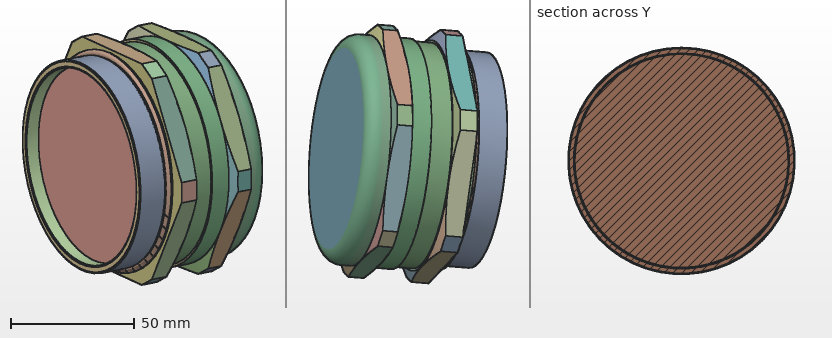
import cadquery as cq
import math


across_flats = 94.0
across_corners = 103.54
hex_length = 9.0
body_hex_start = 0.0
nut_hex_start = 26.0
body_hex_chamfer_angle = 20.0
nut_hex_chamfer_angle = 15.0
envelope_margin = 1.0
hex_half_angle = 30
flat_to_corner = 1 / math.cos(math.radians(hex_half_angle))

thread_radius = 43.94
thread_length = 15.0
end_chamfer_width = 0.6
end_chamfer_angle = 30.0
end_chamfer_depth = end_chamfer_width * math.tan(math.radians(end_chamfer_angle))
bore_radius = 40.7
bore_depth = 6.0

ring_radius = 46.0
ring_section = 2.75
ring_squeeze = 0.1
groove_width = 3.0
groove_radius = ring_radius - ring_section + ring_squeeze

barrel_radius = 46.0
nut_radius = across_flats / 2
nut_start = 18.0
nut_end = 45.0
nut_rounding = 6.0


def cylinder(radius, start, end):
    """Solid cylinder about the Y axis between two Y stations."""
    return cq.Workplane("XZ", origin=(0, start, 0)).circle(radius).extrude(start - end)


def chamfer_envelope(start, end, angle, both_ends):
    """Turned envelope whose conical ends trim the corners of a hexagon."""
    base_radius = across_flats / 2
    outer_radius = across_corners / 2 + envelope_margin
    drop = (outer_radius - base_radius) * math.tan(math.radians(angle))
    profile = cq.Workplane("XY").moveTo(0, start)
    if both_ends:
        profile = profile.lineTo(base_radius, start).lineTo(outer_radius, start + drop)
    else:
        profile = profile.lineTo(outer_radius, start)
    profile = profile.lineTo(outer_radius, end - drop).lineTo(base_radius, end).lineTo(0, end)
    return profile.close().revolve(360, (0, 0, 0), (0, 1, 0))


def hexagon(start, angle, both_ends):
    """Hexagon with flats on top and bottom, cut-off corners and coned ends."""
    end = start + hex_length
    prism = (
        cq.Workplane("XZ", origin=(0, start, 0))
        .polygon(6, across_flats * flat_to_corner)
        .extrude(-hex_length)
    )
    corner_trim = (
        cq.Workplane("XZ", origin=(0, start, 0))
        .transformed(rotate=(0, 0, hex_half_angle))
        .polygon(6, across_corners * flat_to_corner)
        .extrude(-hex_length)
    )
    return prism.intersect(corner_trim).intersect(chamfer_envelope(start, end, angle, both_ends))


def threaded_end():
    """Plain thread cylinder with a chamfered free end and a groove for the ring."""
    end = -thread_length
    groove_start = body_hex_start - groove_width
    return (
        cq.Workplane("XY")
        .moveTo(0, end)
        .lineTo(thread_radius - end_chamfer_width, end)
        .lineTo(thread_radius, end + end_chamfer_depth)
        .lineTo(thread_radius, groove_start)
        .lineTo(groove_radius, groove_start)
        .lineTo(groove_radius, body_hex_start)
        .lineTo(0, body_hex_start)
        .close()
        .revolve(360, (0, 0, 0), (0, 1, 0))
    )


def sealing_ring():
    """Round-section ring pressed into the groove floor and the body hexagon."""
    section_radius = ring_section / 2
    ring = cq.Solid.makeTorus(
        ring_radius - section_radius,
        section_radius,
        cq.Vector(0, body_hex_start + ring_squeeze - section_radius, 0),
        cq.Vector(0, 1, 0),
    )
    return cq.Workplane(obj=ring)


def cap_nut():
    """Cap nut skirt with a rounded closed end."""
    return cylinder(nut_radius, nut_start, nut_end).faces(">Y").edges().fillet(nut_rounding)


def bore():
    """Blind bore in the threaded end with a chamfered mouth."""
    mouth = -thread_length
    return (
        cq.Workplane("XY")
        .moveTo(0, mouth)
        .lineTo(bore_radius + end_chamfer_width, mouth)
        .lineTo(bore_radius, mouth + end_chamfer_depth)
        .lineTo(bore_radius, mouth + bore_depth)
        .lineTo(0, mouth + bore_depth)
        .close()
        .revolve(360, (0, 0, 0), (0, 1, 0))
    )


result = (
    cylinder(barrel_radius, body_hex_start, nut_start)
    .union(threaded_end())
    .union(sealing_ring())
    .union(hexagon(body_hex_start, body_hex_chamfer_angle, both_ends=False))
    .union(cap_nut())
    .union(hexagon(nut_hex_start, nut_hex_chamfer_angle, both_ends=True))
    .cut(bore())
)